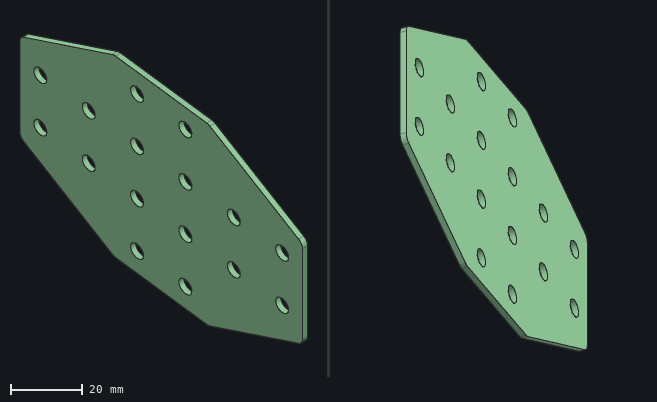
import cadquery as cq

length = 117.0
height = 77.0
thickness = 2.0
top_edge = 39.1
end_edge = 38.3
corner_radius = 2.9

hole_diameter = 5.3
hole_pitch = 20.0
long_row_count = 6
short_row_count = 4
row_pair = 2


def hole_grid(columns, rows):
    """Through-hole cutters on a centred grid."""
    return (
        cq.Workplane("XZ", origin=(0, thickness / 2, 0))
        .rarray(hole_pitch, hole_pitch, columns, rows)
        .circle(hole_diameter / 2)
        .extrude(thickness)
    )


def plate():
    """Octagonal plate, centred on the origin, with rounded corners."""
    outline = [
        (-length / 2, -end_edge / 2),
        (-top_edge / 2, -height / 2),
        (top_edge / 2, -height / 2),
        (length / 2, -end_edge / 2),
        (length / 2, end_edge / 2),
        (top_edge / 2, height / 2),
        (-top_edge / 2, height / 2),
        (-length / 2, end_edge / 2),
    ]
    return (
        cq.Workplane("XZ", origin=(0, thickness / 2, 0))
        .polyline(outline)
        .close()
        .extrude(thickness)
        .edges("|Y")
        .fillet(corner_radius)
    )


result = (
    plate()
    .cut(hole_grid(long_row_count, row_pair))
    .cut(hole_grid(row_pair, short_row_count))
)